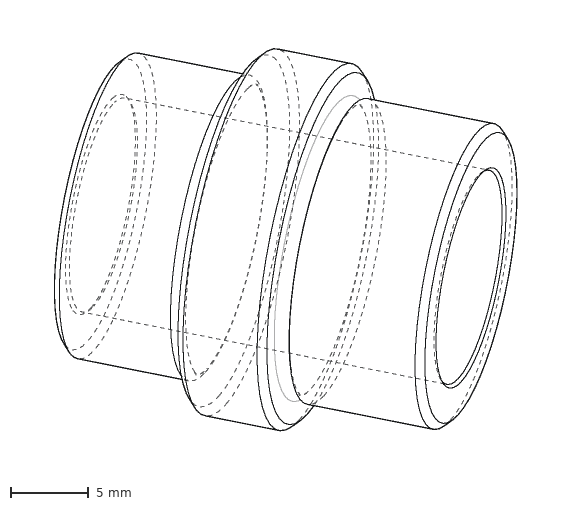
import cadquery as cq

length = 25.0
spigot_radius = 20.0 / 2
collar_radius = 24.0 / 2
bore_radius = 14.0 / 2

collar_start = 9.0
collar_width = 6.0
collar_end = collar_start + collar_width

groove_radius = 0.5

outer_chamfer = 0.5
bore_chamfer = 0.2


def chamfered_cylinder(start, end, radius, chamfer):
    """Cylinder along X between two positions, with both rims chamfered."""
    return (
        cq.Workplane("YZ", origin=(start, 0, 0))
        .circle(radius)
        .extrude(end - start)
        .edges()
        .chamfer(chamfer)
    )


def relief_groove(center):
    """Ring of round section centred on the spigot surface at the given X position."""
    return (
        cq.Workplane("XY")
        .center(center, spigot_radius)
        .circle(groove_radius)
        .revolve(360, (0, -spigot_radius, 0), (1, -spigot_radius, 0))
    )


def make_spigots():
    """Full-length cylinder with a relief groove on each side of the collar."""
    spigots = chamfered_cylinder(0, length, spigot_radius, outer_chamfer)
    for center in (collar_start - groove_radius, collar_end + groove_radius):
        spigots = spigots.cut(relief_groove(center))
    return spigots


def make_bore():
    """Through bore, flared by a small chamfer at both mouths."""
    mouth_radius = bore_radius + bore_chamfer
    return (
        cq.Workplane("XY")
        .moveTo(0, 0)
        .lineTo(0, mouth_radius)
        .lineTo(bore_chamfer, bore_radius)
        .lineTo(length - bore_chamfer, bore_radius)
        .lineTo(length, mouth_radius)
        .lineTo(length, 0)
        .close()
        .revolve(360, (0, 0, 0), (1, 0, 0))
    )


collar = chamfered_cylinder(collar_start, collar_end, collar_radius, outer_chamfer)
bush = make_spigots().union(collar).cut(make_bore())

result = bush.translate((-length / 2, 0, 0))